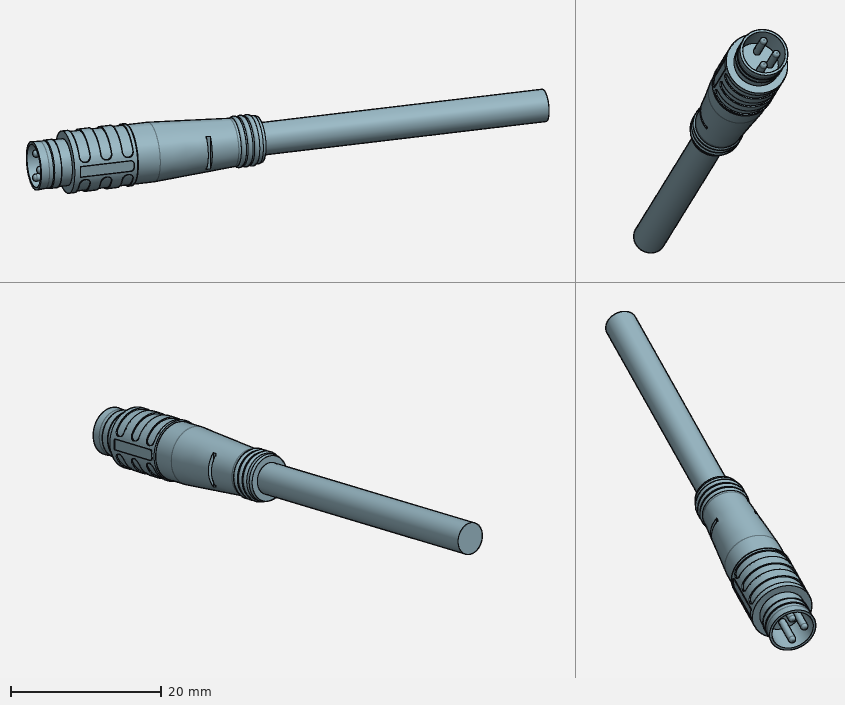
import cadquery as cq
import math


pin_tip_y = 0.0
nose_y = 0.15
groove_front_y = 1.3
groove_back_y = 1.9
barb_y = 2.0
neck_y = 3.0
grip_front_y = 4.5
grip_back_y = 13.5
taper_front_y = 16.55
taper_back_y = 27.8
boot_end_y = 31.7
cable_end_y = 71.7

pin_dia = 1.0
cable_dia = 4.4
bore_dia = 5.8
neck_dia = 6.3
snap_groove_dia = 6.4
nose_dia = 6.5
boot_dia = 6.5
ridge_dia = 6.95
body_dia = 8.0
grip_dia = 8.4

bore_floor_y = grip_front_y
pin_circle_radius = 1.7
pin_tip_fillet = 0.4
pin_embed = 0.7

ridge_width = 0.7
ridge_pitch = 0.9
ridge_count = 3
first_ridge_y = 28.55
boot_chamfer_length = 0.4
boot_chamfer_depth = 0.15

grip_chamfer = 0.15
pocket_width = 1.5
pocket_pitch = 3.0
pocket_count = 3
first_pocket_y = 6.1
pocket_end_z = 1.2
pocket_corner = 0.5

notch_y = 23.7
notch_width = 0.6
notch_floor_x = 2.65


def cylinder(diameter, start_y, end_y, x=0.0, z=0.0):
    """Cylinder along Y between two positions."""
    axis_point = cq.Vector(x, start_y, z)
    return cq.Workplane(
        cq.Solid.makeCylinder(diameter / 2, end_y - start_y, axis_point, cq.Vector(0, 1, 0))
    )


def add_ridges(profile):
    """Continue a profile along the boot with a row of rounded ridges."""
    for index in range(ridge_count):
        crest_y = first_ridge_y + index * ridge_pitch
        profile = profile.lineTo(boot_dia / 2, crest_y - ridge_width / 2).threePointArc(
            (ridge_dia / 2, crest_y), (boot_dia / 2, crest_y + ridge_width / 2)
        )
    return profile


def make_shell():
    """Nose, neck, body, tapered boot and cable as one turned profile."""
    profile = (
        cq.Workplane("XY")
        .moveTo(0, nose_y)
        .lineTo(nose_dia / 2, nose_y)
        .lineTo(snap_groove_dia / 2, groove_front_y)
        .lineTo(snap_groove_dia / 2, groove_back_y)
        .lineTo(nose_dia / 2, barb_y)
        .lineTo(nose_dia / 2, neck_y)
        .lineTo(neck_dia / 2, neck_y)
        .lineTo(neck_dia / 2, grip_front_y)
        .lineTo(body_dia / 2, grip_front_y)
        .lineTo(body_dia / 2, taper_front_y)
        .lineTo(boot_dia / 2, taper_back_y)
    )
    profile = (
        add_ridges(profile)
        .lineTo(boot_dia / 2, boot_end_y - boot_chamfer_length)
        .lineTo(boot_dia / 2 - boot_chamfer_depth, boot_end_y)
        .lineTo(cable_dia / 2, boot_end_y)
        .lineTo(cable_dia / 2, cable_end_y)
        .lineTo(0, cable_end_y)
        .close()
    )
    return profile.revolve(360, (0, 0, 0), (0, 1, 0))


def make_slots():
    """Round-ended grip slots wrapping over the +Z and -Z sides."""
    slots = cq.Workplane("YZ")
    slot_length = grip_dia
    for side in (1, -1):
        for index in range(pocket_count):
            centre_y = first_pocket_y + index * pocket_pitch
            slots = slots.add(
                cq.Workplane("YZ")
                .center(centre_y, side * (pocket_end_z + slot_length / 2))
                .slot2D(slot_length, pocket_width, 90)
                .extrude(grip_dia, both=True)
            )
    return slots.combine()


def make_side_pocket(side):
    """Flat-bottomed lengthwise pocket on the +X or -X side, rounded at its cable end."""
    row_length = (pocket_count - 1) * pocket_pitch
    pocket = (
        cq.Workplane("YZ")
        .center(first_pocket_y + row_length / 2, 0)
        .rect(row_length + pocket_width, pocket_width)
        .extrude(side * grip_dia)
        .edges("|X and >Y")
        .fillet(pocket_corner)
    )
    return pocket.translate((side * body_dia / 2, 0, 0))


def make_grip():
    """Raised sleeve; its slots reach down to the body surface."""
    sleeve = cylinder(grip_dia, grip_front_y, grip_back_y).edges(">Y").chamfer(grip_chamfer)
    sleeve = sleeve.cut(make_slots())
    for side in (1, -1):
        sleeve = sleeve.cut(make_side_pocket(side))
    return sleeve


def cut_notches(part):
    """Flat-bottomed notches on the +X and -X sides of the taper."""
    for side in (1, -1):
        notch = cq.Workplane("XY").box(body_dia, notch_width, body_dia)
        part = part.cut(notch.translate((side * (notch_floor_x + body_dia / 2), notch_y, 0)))
    return part


def add_pins(part):
    """Three round-tipped contact pins standing on the floor of the bore."""
    for angle in (-90, 0, 90):
        x = pin_circle_radius * math.cos(math.radians(angle))
        z = pin_circle_radius * math.sin(math.radians(angle))
        pin = cylinder(pin_dia, pin_tip_y, bore_floor_y + pin_embed, x, z)
        part = part.union(pin.edges("<Y").fillet(pin_tip_fillet))
    return part


part = make_shell().union(make_grip())
part = part.cut(cylinder(bore_dia, nose_y, bore_floor_y))
part = cut_notches(part)
result = add_pins(part)